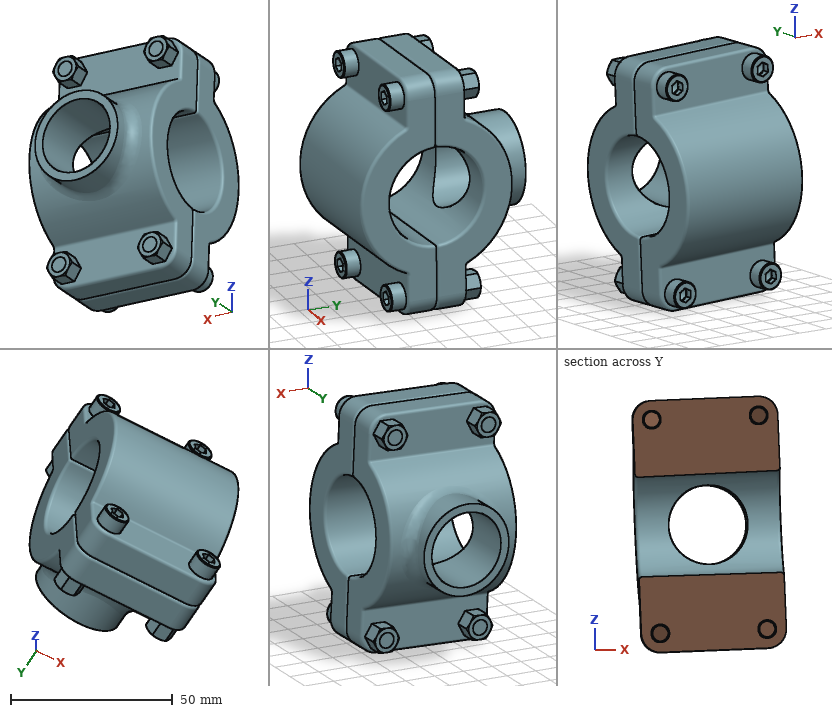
import cadquery as cq
import math


edge_radius = 1.0

bolt_spacing_x = 33.05
bolt_spacing_z = 66.1
bolt_edge_distance = 5.95
flange_thickness = 10.0

barrel_diameter = 52.0
pipe_bore_diameter = 32.0

port_diameter = 30.0
port_bore_diameter = 24.5
port_reach = 33.9
port_root_radius = 4

bolt_hole_diameter = 5.5
shank_diameter = 5.0
head_diameter = 8.5
head_height = 5.0
head_chamfer = 0.3
socket_across_flats = 4
socket_depth = 2.5
socket_cone_angle = 30

nut_across_flats = 8.0
nut_height = 5.6
nut_corner_chamfer_angle = 30

roll, pitch, yaw = -0.54, -2.3, 1.9

cut_margin = 0.8
tolerance = 0.001

clamp_length = bolt_spacing_x + 2 * bolt_edge_distance
flange_height = bolt_spacing_z + 2 * bolt_edge_distance
barrel_radius = barrel_diameter / 2
nut_across_corners = nut_across_flats / math.cos(math.radians(30))
socket_across_corners = socket_across_flats / math.cos(math.radians(30))
bolt_places = [
    (x, z)
    for x in (-bolt_spacing_x / 2, bolt_spacing_x / 2)
    for z in (-bolt_spacing_z / 2, bolt_spacing_z / 2)
]


def rod_along_y(diameter, y_start, y_end):
    """Cylinder on the Y axis between two Y positions."""
    return (
        cq.Workplane("XZ", origin=(0, y_start, 0))
        .circle(diameter / 2)
        .extrude(y_start - y_end)
    )


def hex_bar_along_y(across_corners, y_start, y_end):
    """Hexagonal bar on the Y axis with two corners on the X axis."""
    return (
        cq.Workplane("XZ", origin=(0, y_start, 0))
        .polygon(6, across_corners)
        .extrude(y_start - y_end)
    )


def cone_along_y(radius, y_base, y_tip):
    """Cone on the Y axis."""
    return (
        cq.Workplane("XY")
        .polyline([(0, y_base), (radius, y_base), (0, y_tip)])
        .close()
        .revolve(360, (0, 0, 0), (0, 1, 0))
    )


def is_rounded_edge(edge):
    """True for the sharp edges around the ends, the parting face and the flange rims."""
    box = edge.BoundingBox()
    on_end = box.xlen < tolerance and abs(abs(box.xmin) - clamp_length / 2) < tolerance
    if on_end:
        return not (box.zlen < tolerance and abs(box.zmin) > barrel_radius)
    on_parting_face = box.ymax < tolerance
    on_flange_face = box.ylen < tolerance and abs(box.ymax - flange_thickness) < tolerance
    on_flange_rim = max(abs(box.zmin), abs(box.zmax)) > bolt_spacing_z / 2 - tolerance
    return on_parting_face or (on_flange_face and on_flange_rim)


def clamp_blank():
    """Half barrel with two bolt flanges on the +Y side of the parting plane."""
    half_space = cq.Workplane("XY").box(
        clamp_length, barrel_diameter, barrel_diameter, centered=(True, False, True)
    )
    barrel = (
        cq.Workplane("YZ")
        .circle(barrel_radius)
        .extrude(clamp_length / 2, both=True)
        .intersect(half_space)
    )
    flange = (
        cq.Workplane("XZ")
        .rect(clamp_length, flange_height)
        .extrude(-flange_thickness)
        .edges("|Y")
        .fillet(bolt_edge_distance)
    )
    root_z = math.sqrt(barrel_radius**2 - flange_thickness**2)
    blank = flange.union(barrel)
    for z in (-root_z, root_z):
        blank = blank.edges(
            cq.selectors.NearestToPointSelector((0, flange_thickness, z))
        ).fillet(edge_radius)

    pipe_bore = cq.Workplane("YZ").circle(pipe_bore_diameter / 2).extrude(clamp_length, both=True)
    blank = blank.cut(pipe_bore)
    return blank.newObject([e for e in blank.edges().vals() if is_rounded_edge(e)]).fillet(edge_radius)


def drill_bolt_holes(half):
    for x, z in bolt_places:
        hole = rod_along_y(bolt_hole_diameter, -cut_margin, flange_thickness + cut_margin)
        half = half.cut(hole.translate((x, 0, z)))
    return half


def make_front_half():
    return drill_bolt_holes(clamp_blank()).mirror("XZ")


def is_port_root(edge):
    """True for the saddle-shaped curve where the port leaves the barrel."""
    box = edge.BoundingBox()
    spans_port = min(box.xlen, box.zlen) > port_diameter - tolerance
    is_flat = box.ylen < tolerance
    is_outside_bore = box.ymin > pipe_bore_diameter / 2
    return spans_port and is_outside_bore and not is_flat


def make_port_half():
    port = rod_along_y(port_diameter, (pipe_bore_diameter + barrel_diameter) / 4, port_reach)
    half = clamp_blank().union(port)
    half = half.newObject([e for e in half.edges().vals() if is_port_root(e)]).fillet(port_root_radius)
    half = half.cut(rod_along_y(port_bore_diameter, 0, port_reach + cut_margin))
    return drill_bolt_holes(half)


def make_screw():
    """Socket head cap screw seated on the front flange, ending flush with the nut."""
    head_end = -flange_thickness - head_height
    socket_floor = head_end + socket_depth
    cone_depth = socket_across_corners / 2 * math.tan(math.radians(socket_cone_angle))

    head = rod_along_y(head_diameter, head_end, -flange_thickness).faces("<Y").chamfer(head_chamfer)
    shank = rod_along_y(shank_diameter, -flange_thickness, flange_thickness + nut_height)
    socket = hex_bar_along_y(socket_across_corners, head_end, socket_floor)
    socket = socket.rotate((0, 0, 0), (0, 1, 0), 90)
    socket_tip = cone_along_y(socket_across_corners / 2, socket_floor, socket_floor + cone_depth)
    return head.union(shank).cut(socket).cut(socket_tip)


def make_nut():
    """Hexagon nut on the port-side flange, with chamfered outer corners."""
    outer_end = flange_thickness + nut_height
    slope = math.tan(math.radians(nut_corner_chamfer_angle))
    envelope_height = nut_across_flats / 2 * slope + nut_height
    envelope_radius = envelope_height / slope
    nut = hex_bar_along_y(nut_across_corners, flange_thickness, outer_end)
    nut = nut.intersect(cone_along_y(envelope_radius, flange_thickness, flange_thickness + envelope_height))
    return nut.cut(rod_along_y(shank_diameter, flange_thickness, outer_end))


def tilted(body):
    """The body's solid, turned into the tilt of the whole clamp."""
    origin = (0, 0, 0)
    return (
        body.rotate(origin, (1, 0, 0), roll)
        .rotate(origin, (0, 1, 0), pitch)
        .rotate(origin, (0, 0, 1), yaw)
        .solids()
        .val()
    )


front_half = tilted(make_front_half())
port_half = tilted(make_port_half())
screws = []
nuts = []
for x, z in bolt_places:
    screws.append(tilted(make_screw().translate((x, 0, z))))
    nuts.append(tilted(make_nut().translate((x, 0, z))))

result = cq.Compound.makeCompound([front_half, port_half, *screws, *nuts])